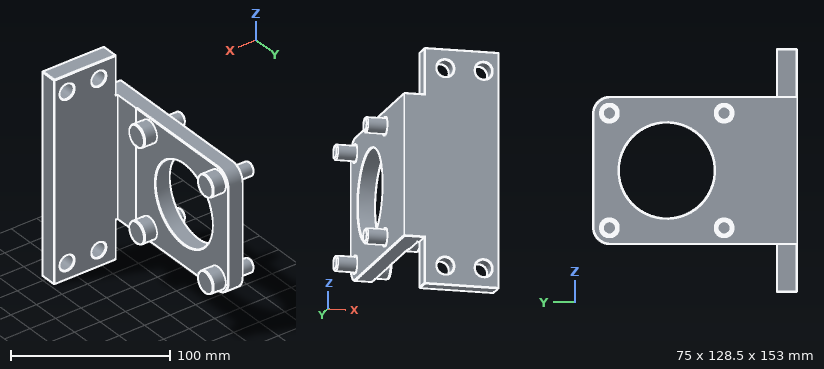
import cadquery as cq

total_x = 75.0
total_y = 128.5
flange_height = 153.0
edge_chamfer = 0.5

plate_left = 13.0
plate_thickness = 12.0
plate_height = 92.9
plate_corner_radius = 11.0
bore_diameter = 60.0

foot_thickness = 12.2
foot_length = 32.1

flange_left = 26.3
flange_thickness = 13.0
flange_hole_first_x = 40.0
flange_hole_pitch_x = 25.0
flange_hole_pitch_z = 128.0

clearance_diameter = 11.0
bolt_pitch = 72.0
pattern_center_y = 82.0
shank_diameter = 10.0
shank_chamfer = 0.9
head_diameter = 16.0
head_length = 10.1
head_chamfer_axial = 0.9
head_chamfer_radial = 0.3

plate_back = plate_left + plate_thickness


def box_between(x_range, y_range, height):
    """Box over the given X and Y ranges, centred on Z = 0."""
    size_x = x_range[1] - x_range[0]
    size_y = y_range[1] - y_range[0]
    box = cq.Workplane("XY").box(size_x, size_y, height, centered=(False, False, True))
    return box.translate((x_range[0], y_range[0], 0))


def rod_along_x(start_x, end_x, diameter):
    """Cylinder on the X axis."""
    return cq.Workplane("YZ").workplane(offset=start_x).circle(diameter / 2).extrude(end_x - start_x)


def double_chamfered_cutter(plane, diameter, depth):
    """Hole cutter from the plane origin that widens by a chamfer at both ends."""
    radius = diameter / 2
    rim = radius + edge_chamfer
    half_profile = [
        (0, 0),
        (rim, 0),
        (radius, edge_chamfer),
        (radius, depth - edge_chamfer),
        (rim, depth),
        (0, depth),
    ]
    return cq.Workplane(plane).polyline(half_profile).close().revolve(360, (0, 0), (0, 1))


def make_plate():
    plate = box_between((plate_left, plate_back), (flange_thickness, total_y), plate_height)
    plate = plate.edges("|X and >Y").fillet(plate_corner_radius)
    chamfered_edges = "(<X or >X) and (not <Y)"
    return plate.edges(chamfered_edges).chamfer(edge_chamfer)


def make_root_block(right_x, length):
    """Block at the foot of the plate; only its left and front long edges are chamfered."""
    block = box_between((plate_left, right_x), (0, length), plate_height)
    left_edges = "(<X and >Z) or (<X and <Z)"
    front_edges = "(<Y and >Z) or (<Y and <Z)"
    return block.edges(f"({left_edges}) or ({front_edges})").chamfer(edge_chamfer)


def make_flange():
    flange = box_between((flange_left, total_x), (0, flange_thickness), flange_height)
    return flange.edges().chamfer(edge_chamfer)


def cut_flange_holes(body):
    cutter = double_chamfered_cutter("XY", clearance_diameter, flange_thickness)
    for x in (flange_hole_first_x, flange_hole_first_x + flange_hole_pitch_x):
        for z in (-flange_hole_pitch_z / 2, flange_hole_pitch_z / 2):
            body = body.cut(cutter.translate((x, 0, z)))
    return body


def plate_cutter(diameter):
    """Chamfered cutter through the plate, with its axis along X at Y = Z = 0."""
    cutter = double_chamfered_cutter("YX", diameter, plate_thickness)
    return cutter.translate((plate_left, 0, 0))


def make_bolt():
    shank = rod_along_x(0, plate_back, shank_diameter).faces("<X").chamfer(shank_chamfer)
    head = rod_along_x(plate_back, plate_back + head_length, head_diameter)
    head = head.faces(">X").edges().chamfer(head_chamfer_axial, head_chamfer_radial)
    return shank.union(head)


body = make_plate()
body = body.union(make_root_block(plate_left + foot_thickness, foot_length))
body = body.union(make_root_block(flange_left + edge_chamfer, flange_thickness))
body = body.union(make_flange())
body = cut_flange_holes(body)
body = body.cut(plate_cutter(bore_diameter).translate((0, pattern_center_y, 0)))

clearance_cutter = plate_cutter(clearance_diameter)
bolt = make_bolt()
for y_side in (-1, 1):
    for z_side in (-1, 1):
        place = (0, pattern_center_y + y_side * bolt_pitch / 2, z_side * bolt_pitch / 2)
        body = body.cut(clearance_cutter.translate(place)).union(bolt.translate(place))

result = body